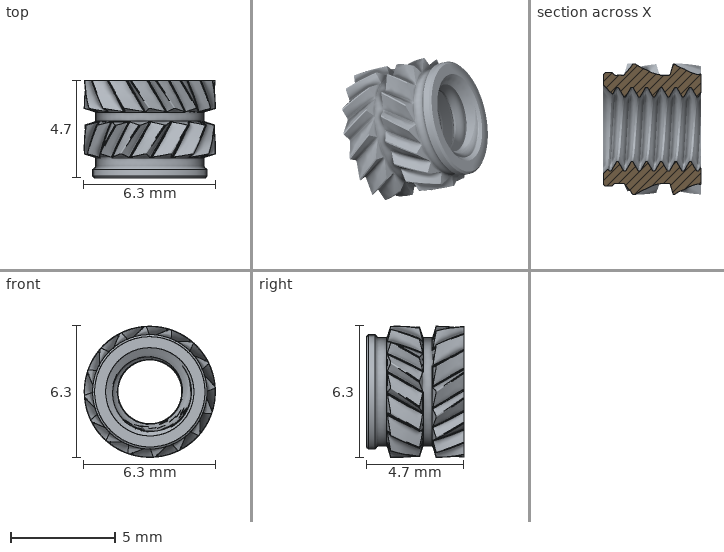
import cadquery as cq
import math


LENGTH = 4.7
NECK_RADIUS = 5.22 / 2
NECK_FILLET = 0.04
CORE_RADIUS = NECK_RADIUS + NECK_FILLET
COLLAR_RADIUS = 5.5 / 2
COLLAR_FACE_CHAMFER = 0.1
COLLAR_STRAIGHT_END = 0.41
COLLAR_END = 0.535
COLLAR_FILLET = 0.08

TIP_RADIUS = 6.3 / 2
FRONT_BAND = (1.015, 2.7)
REAR_BAND_START = 3.2
BAND_BEVEL = 0.15
TEETH = 16
TOOTH_PITCH = 360 / TEETH
ROOT_RADIUS = 2.61
TIP_WIDTH_ANGLE = 1.5
STEEP_FLANK_ANGLE = 5.65
ROOT_FILLET = 0.11
TIP_FILLET = 0.02
HELIX_ANGLE = 35
TWIST_PER_MM = math.degrees(math.tan(math.radians(HELIX_ANGLE)) / TIP_RADIUS)
FRONT_BAND_PHASE = 6.0
REAR_BAND_PHASE = 17.9

THREAD_PITCH = 0.7
THREAD_MAJOR_RADIUS = 4.0 / 2
BORE_RADIUS = 3.09 / 2
THREAD_FLAT_ANGLE = 360 / 8
FLANK_CURVE_STEPS = 20
THREAD_PHASE = 180
COUNTERSINK_RADIUS = 4.24 / 2
COUNTERSINK_DEPTH = COUNTERSINK_RADIUS - BORE_RADIUS


def polar(radius, angle):
    return (radius * math.cos(math.radians(angle)), radius * math.sin(math.radians(angle)))


def revolve_about_y(points):
    profile = cq.Workplane("XY").polyline(points).close()
    return profile.revolve(360, (0, 0, 0), (0, 1, 0))


def make_body():
    """Turned blank: collar, two neck grooves and the cores under the knurled bands."""
    front_start, front_end = FRONT_BAND
    profile = (
        cq.Workplane("XY")
        .lineTo(COLLAR_RADIUS - COLLAR_FACE_CHAMFER, 0)
        .lineTo(COLLAR_RADIUS, COLLAR_FACE_CHAMFER)
        .lineTo(COLLAR_RADIUS, COLLAR_STRAIGHT_END)
        .lineTo(NECK_RADIUS, COLLAR_END)
        .lineTo(NECK_RADIUS, front_start - NECK_FILLET)
        .radiusArc((CORE_RADIUS, front_start), NECK_FILLET)
        .lineTo(CORE_RADIUS, front_end)
        .radiusArc((NECK_RADIUS, front_end + NECK_FILLET), NECK_FILLET)
        .lineTo(NECK_RADIUS, REAR_BAND_START - NECK_FILLET)
        .radiusArc((CORE_RADIUS, REAR_BAND_START), NECK_FILLET)
        .lineTo(CORE_RADIUS, LENGTH)
        .lineTo(0, LENGTH)
        .close()
    )
    body = profile.revolve(360, (0, 0, 0), (0, 1, 0))
    collar_foot = cq.selectors.BoxSelector(
        (-NECK_RADIUS, COLLAR_END - NECK_FILLET, -NECK_RADIUS),
        (NECK_RADIUS, COLLAR_END + NECK_FILLET, NECK_RADIUS),
    )
    return body.edges("%CIRCLE").edges(collar_foot).fillet(COLLAR_FILLET)


def knurl_outline(phase, lean):
    """Saw-tooth outline; lean = 1 puts the steep flank on the counterclockwise side of a tooth."""
    points = []
    for tooth in range(TEETH):
        steep_tip = phase + lean * tooth * TOOTH_PITCH
        points.append(polar(TIP_RADIUS, steep_tip - lean * TIP_WIDTH_ANGLE))
        points.append(polar(TIP_RADIUS, steep_tip))
        points.append(polar(ROOT_RADIUS, steep_tip + lean * STEEP_FLANK_ANGLE))
    outline = cq.Wire.makePolygon([cq.Vector(x, y, 0) for x, y in points], close=True)
    middle_radius = (TIP_RADIUS + ROOT_RADIUS) / 2
    roots = [v for v in outline.Vertices() if v.Center().Length < middle_radius]
    outline = outline.fillet2D(ROOT_FILLET, roots)
    tip_limit = TIP_RADIUS - TIP_FILLET / 10
    tips = [v for v in outline.Vertices() if v.Center().Length > tip_limit]
    return outline.fillet2D(TIP_FILLET, tips)


def make_knurl(start, end, phase, lean, bevel_end):
    """Helical teeth between two Y levels; phase is the steep tip edge at the end level."""
    length = end - start
    outline = knurl_outline(phase, lean)
    teeth = (
        cq.Workplane("XZ", origin=(0, end, 0))
        .newObject([outline.moved(cq.Workplane("XZ", origin=(0, end, 0)).plane.location)])
        .toPending()
        .twistExtrude(length, -lean * length * TWIST_PER_MM)
    )
    end_points = [(TIP_RADIUS, end)]
    if bevel_end:
        end_points = [(TIP_RADIUS, end - BAND_BEVEL), (CORE_RADIUS, end)]
    envelope = revolve_about_y(
        [(0, start), (CORE_RADIUS, start), (TIP_RADIUS, start + BAND_BEVEL), *end_points, (0, end)]
    )
    return teeth.intersect(envelope)


def make_countersink():
    return revolve_about_y([(0, 0), (COUNTERSINK_RADIUS, 0), (BORE_RADIUS, COUNTERSINK_DEPTH), (0, COUNTERSINK_DEPTH)])


def make_threaded_bore():
    """Right-hand thread: one cross-section of the bore, twisted one turn per thread pitch."""
    half_flat = THREAD_FLAT_ANGLE / 2
    flank_span = 180 - THREAD_FLAT_ANGLE
    depth = THREAD_MAJOR_RADIUS - BORE_RADIUS

    def inward_flank(t):
        return polar(THREAD_MAJOR_RADIUS - depth * t, THREAD_PHASE + half_flat + flank_span * t)

    def outward_flank(t):
        return polar(BORE_RADIUS + depth * t, THREAD_PHASE + 180 + half_flat + flank_span * t)

    section = (
        cq.Workplane("XZ", origin=(0, LENGTH, 0))
        .moveTo(*polar(THREAD_MAJOR_RADIUS, THREAD_PHASE - half_flat))
        .threePointArc(polar(THREAD_MAJOR_RADIUS, THREAD_PHASE), inward_flank(0))
        .parametricCurve(inward_flank, N=FLANK_CURVE_STEPS, makeWire=False)
        .threePointArc(polar(BORE_RADIUS, THREAD_PHASE + 180), outward_flank(0))
        .parametricCurve(outward_flank, N=FLANK_CURVE_STEPS, makeWire=False)
        .close()
    )
    return section.twistExtrude(LENGTH, 360 * LENGTH / THREAD_PITCH)


def make_outer():
    """Knurled insert around the cylinder that the threaded liner fills."""
    front_knurl = make_knurl(*FRONT_BAND, FRONT_BAND_PHASE, -1, True)
    rear_knurl = make_knurl(REAR_BAND_START, LENGTH, REAR_BAND_PHASE, 1, False)
    return make_body().union(front_knurl).union(rear_knurl).cut(make_liner_blank())


def make_liner_blank():
    return cq.Workplane("XZ").circle(COUNTERSINK_RADIUS).extrude(-LENGTH)


def make_liner():
    return make_liner_blank().cut(make_countersink()).cut(make_threaded_bore(), clean=False)


def is_joint(face):
    """True for the cylinder where the outer part and the liner touch."""
    if face.geomType() != "CYLINDER":
        return False
    rims = [edge for edge in face.Edges() if edge.geomType() == "CIRCLE"]
    return any(math.isclose(rim.radius(), COUNTERSINK_RADIUS) for rim in rims)


def join_along_cylinder(outer, liner):
    """Sew the two parts into one solid without their shared cylinder, which is far quicker than a union."""
    faces = outer.faces().vals() + liner.faces().vals()
    skin = cq.Shell.makeShell([face for face in faces if not is_joint(face)])
    return cq.Workplane(cq.Solid.makeSolid(skin).clean())


result = join_along_cylinder(make_outer(), make_liner())